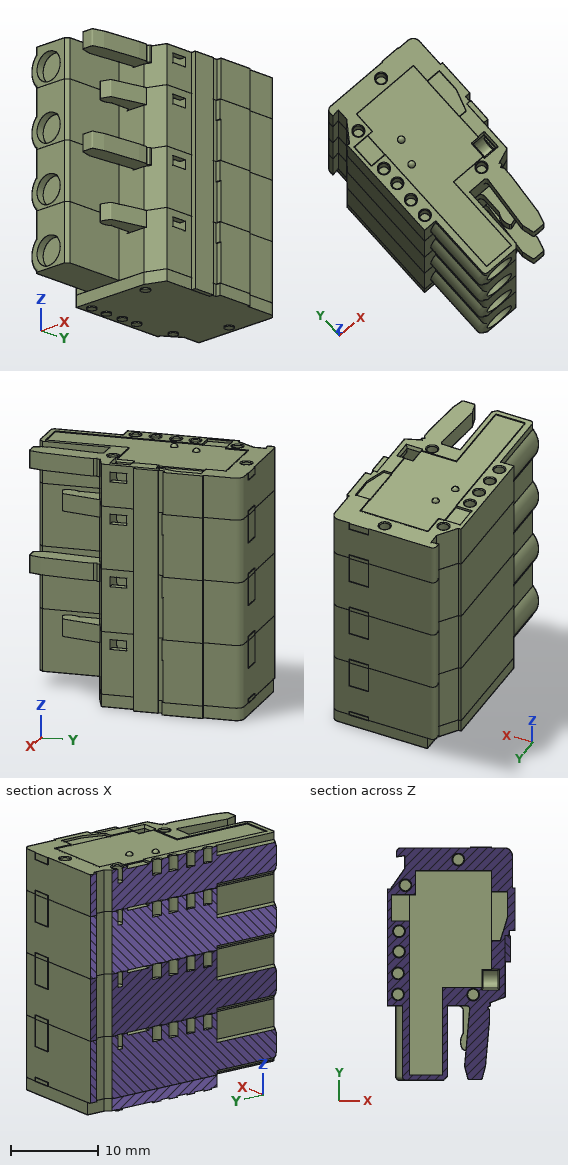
import cadquery as cq

PLATE_THICKNESS = 1.5
MODULE_HEIGHT = 7.5
TOP_MODULE_HEIGHT = 5.02
WIDE_MODULE_COUNT = 3
STACK_HEIGHT = PLATE_THICKNESS + WIDE_MODULE_COUNT * MODULE_HEIGHT + TOP_MODULE_HEIGHT

SHELF_Y = 8.5
SHOULDER_Y = 21.9
SHOULDER_X = 0.35
NECK_X = 1.97
NECK_Y = 24.22
BACK_Y = 26.6
SIDE_X = 14.3
BACK_CORNER_RADIUS = 0.95
TAB_X = 14.6
TAB_TOP_Y = 22.02
TAB_END_Y = 17.12
TAB_ROOT_X = 13.95
LOWER_SIDE_X = 13.48
SLOPE_TOP_Y = 9.55
SLOPE_END_X = 10.8

BAR_X = 14.1
BAR_START_Y = 13.55
BAR_END_Y = 16.53

HOOK_X = 1.03
HOOK_LIP_Y = 25.55
HOOK_ROOT_Y = 25.7
HOOK_RADIUS = 0.53

BARREL_RADIUS = 2.97
BARREL_HEIGHT_ABOVE_BASE = 2.17
ARM_LEFT_X = 1.7
ARM_RIGHT_X = 6.87
BARREL_X = ARM_RIGHT_X - BARREL_RADIUS
ARM_EDGE = 0.47
CONTACT_DIAMETER = 3.7
CONTACT_DEPTH = 1.0

LEG_THICKNESS = 2.08
LEG_TIP_RADIUS = 0.2
LEG_EMBEDMENT = 0.3
LONG_ROOT_RADIUS = 0.32
SHORT_ROOT_RADIUS = 0.55

STRIP_X = 9.48
STRIP_WIDTH = 2.45
STRIP_PROUD = 0.1
STRIP_UPPER_HEIGHT = 3.32
STRIP_LOWER_HEIGHT = 0.47
STRIP_GAP = MODULE_HEIGHT - STRIP_UPPER_HEIGHT - STRIP_LOWER_HEIGHT
TAB_STEP = 0.15
TAB_STEP_HEIGHT = TOP_MODULE_HEIGHT

PANEL_DEPTH = 0.12
POCKET_DEPTH = 0.25
PANEL_LEFT_X = 2.52
PANEL_RIGHT_X = 11.9
PANEL_NOTCH_X = 3.23
PANEL_NOTCH_Y = 21.23
PANEL_BACK_Y = 23.95
PANEL_INNER_X = 6.28
PANEL_INNER_Y = 10.63
PANEL_FRONT_Y = 0.65
SMALL_POCKET_X = 0.47
SMALL_POCKET_Y = 18.23
SIDE_POCKET = [(13.7, 21.55), (13.7, 18.6), (12.9, 15.97)]

PEG_POSITIONS = [
    (8.1, 25.25),
    (2.05, 22.3),
    (1.32, 17.05),
    (1.32, 14.75),
    (1.2, 12.25),
    (1.2, 9.85),
    (9.8, 9.8),
]
PEG_HOLE_DIAMETER = 1.25
PEG_HOLE_RIM_DIAMETER = 1.5
PEG_HOLE_DEPTH = 1.75
PEG_DIAMETER = 1.2
PEG_LENGTH = 0.15

DOME_POSITIONS = [(5.08, 18.32), (4.05, 15.35)]
DOME_RADIUS = 0.45
DOME_PROUD = 0.23

WINDOW_X = 10.75
WINDOW_Y = 10.35
WINDOW_WIDTH = 2.08
WINDOW_LENGTH = 2.4
WINDOW_MOUTH_DEPTH = 0.38
WINDOW_TAPER_INSET = 0.2
WINDOW_DEPTH = 2.05
WINDOW_EXIT_DEPTH = 0.88


def prism(points, base_z, height):
    return cq.Workplane("XY").workplane(offset=base_z).polyline(points).close().extrude(height)


def box(x, y, z, size_x, size_y, size_z):
    return cq.Workplane("XY").box(size_x, size_y, size_z, centered=False).translate((x, y, z))


def body_block(base_z, height):
    """Plain body with the latch tab and the channel for the locking bar."""
    outline = [
        (0, SHELF_Y),
        (SLOPE_END_X, SHELF_Y),
        (LOWER_SIDE_X, SLOPE_TOP_Y),
        (LOWER_SIDE_X, BAR_END_Y),
        (TAB_ROOT_X, BAR_END_Y),
        (TAB_ROOT_X, TAB_END_Y),
        (TAB_X, TAB_END_Y),
        (TAB_X, TAB_TOP_Y),
        (SIDE_X, TAB_TOP_Y),
        (SIDE_X, BACK_Y),
        (NECK_X, BACK_Y),
        (NECK_X, NECK_Y),
        (SHOULDER_X, SHOULDER_Y),
        (0, SHOULDER_Y),
    ]
    block = prism(outline, base_z, height)
    corner = cq.selectors.NearestToPointSelector((SIDE_X, BACK_Y, base_z + height / 2))
    return block.edges("|Z").edges(corner).fillet(BACK_CORNER_RADIUS)


def hook(base_z, height):
    outline = [
        (NECK_X, HOOK_ROOT_Y),
        (HOOK_X, HOOK_LIP_Y),
        (HOOK_X, BACK_Y),
        (NECK_X, BACK_Y),
    ]
    solid = prism(outline, base_z, height)
    corner = cq.selectors.NearestToPointSelector((HOOK_X, BACK_Y, base_z + height / 2))
    return solid.edges("|Z").edges(corner).fillet(HOOK_RADIUS)


def plug_arm(base_z, height):
    """Flat arm merged with a barrel that is cut off level with the module base."""
    arm = box(ARM_LEFT_X, 0, base_z, ARM_RIGHT_X - ARM_LEFT_X, SHELF_Y, height)
    arm = arm.faces("<Y").edges("<X").fillet(ARM_EDGE)
    arm = arm.faces("<Y").edges(">X").chamfer(ARM_EDGE)

    barrel_z = base_z + BARREL_HEIGHT_ABOVE_BASE
    barrel_plane = cq.Workplane("XZ", origin=(BARREL_X, 0, barrel_z))
    barrel = barrel_plane.circle(BARREL_RADIUS).extrude(-SHELF_Y).faces("<Y").edges().fillet(ARM_EDGE)
    left_half = box(BARREL_X - BARREL_RADIUS, 0, base_z, BARREL_RADIUS, SHELF_Y, height)
    contact_hole = barrel_plane.circle(CONTACT_DIAMETER / 2).extrude(-CONTACT_DEPTH)
    return arm.union(barrel.intersect(left_half)).cut(contact_hole)


def leg_blank(outline, top_z):
    return outline.close().extrude(LEG_THICKNESS).translate((0, 0, top_z - LEG_THICKNESS))


def round_tip(leg, corner, top_z):
    nearest = cq.selectors.NearestToPointSelector((*corner, top_z - LEG_THICKNESS / 2))
    return leg.edges("|Z").edges(nearest).fillet(LEG_TIP_RADIUS)


def long_leg(top_z):
    """Tapered leg with a rounded inner root and a small relief notch at its outer root."""
    side_x = 9.4
    left_tip = (9.22, 0.1)
    right_tip = (10.8, 0.1)
    outline = (
        cq.Workplane("XY")
        .moveTo(side_x - LONG_ROOT_RADIUS, SHELF_Y + LEG_EMBEDMENT)
        .lineTo(side_x - LONG_ROOT_RADIUS, SHELF_Y)
        .radiusArc((side_x, SHELF_Y - LONG_ROOT_RADIUS), LONG_ROOT_RADIUS)
        .lineTo(8.8, 1.61)
        .lineTo(*left_tip)
        .lineTo(*right_tip)
        .lineTo(11.22, 1.61)
        .lineTo(11.69, 6.85)
        .lineTo(11.69, 8.05)
        .lineTo(11.45, 8.37)
        .lineTo(11.77, SHELF_Y)
        .lineTo(11.77, SHELF_Y + LEG_EMBEDMENT)
    )
    leg = leg_blank(outline, top_z)
    return round_tip(round_tip(leg, left_tip, top_z), right_tip, top_z)


def short_leg(top_z):
    """Leg with a rounded latch nose on its inner side and one straight tapered side."""
    side_x = 8.65
    root_right_x = 11.13
    right_tip = (10.07, 3.88)
    outline = (
        cq.Workplane("XY")
        .moveTo(side_x - SHORT_ROOT_RADIUS, SHELF_Y + LEG_EMBEDMENT)
        .lineTo(side_x - SHORT_ROOT_RADIUS, SHELF_Y)
        .radiusArc((side_x, SHELF_Y - SHORT_ROOT_RADIUS), SHORT_ROOT_RADIUS)
        .lineTo(side_x, 5.4)
        .threePointArc((8.37, 4.7), (8.57, 3.58))
        .lineTo(8.8, 3.44)
        .lineTo(*right_tip)
        .lineTo(root_right_x, SHELF_Y)
        .lineTo(root_right_x, SHELF_Y + LEG_EMBEDMENT)
    )
    return round_tip(leg_blank(outline, top_z), right_tip, top_z)


def back_strips(base_z, height):
    upper_base = STRIP_LOWER_HEIGHT + STRIP_GAP
    lower = box(STRIP_X, BACK_Y, base_z, STRIP_WIDTH, STRIP_PROUD, STRIP_LOWER_HEIGHT)
    upper = box(STRIP_X, BACK_Y, base_z + upper_base, STRIP_WIDTH, STRIP_PROUD, height - upper_base)
    return lower.union(upper)


def top_recesses(top_z):
    """Shallow panel with two deeper pockets beside it."""
    panel = [
        (PANEL_LEFT_X, PANEL_FRONT_Y),
        (PANEL_INNER_X, PANEL_FRONT_Y),
        (PANEL_INNER_X, PANEL_INNER_Y),
        (PANEL_RIGHT_X, PANEL_INNER_Y),
        (PANEL_RIGHT_X, PANEL_BACK_Y),
        (PANEL_NOTCH_X, PANEL_BACK_Y),
        (PANEL_NOTCH_X, PANEL_NOTCH_Y),
        (PANEL_LEFT_X, PANEL_NOTCH_Y),
    ]
    side_pocket = [(PANEL_RIGHT_X, SIDE_POCKET[0][1]), *SIDE_POCKET, (PANEL_RIGHT_X, SIDE_POCKET[-1][1])]
    small_pocket = box(
        SMALL_POCKET_X,
        SMALL_POCKET_Y,
        top_z - POCKET_DEPTH,
        PANEL_LEFT_X - SMALL_POCKET_X,
        PANEL_NOTCH_Y - SMALL_POCKET_Y,
        POCKET_DEPTH,
    )
    return (
        prism(panel, top_z - PANEL_DEPTH, PANEL_DEPTH)
        .union(prism(side_pocket, top_z - POCKET_DEPTH, POCKET_DEPTH))
        .union(small_pocket)
    )


def peg_holes(top_z):
    rim_depth = (PEG_HOLE_RIM_DIAMETER - PEG_HOLE_DIAMETER) / 2
    plane = cq.Workplane("XY").workplane(offset=top_z).pushPoints(PEG_POSITIONS)
    shafts = plane.circle(PEG_HOLE_DIAMETER / 2).extrude(-PEG_HOLE_DEPTH)
    rims = plane.circle(PEG_HOLE_RIM_DIAMETER / 2).extrude(-rim_depth, taper=45)
    return shafts.union(rims)


def test_window(top_z):
    """Tapered mouth, straight shaft and half-round floor; the shaft breaks out through the side."""
    inner_x = WINDOW_X + WINDOW_TAPER_INSET
    inner_y = WINDOW_Y + WINDOW_TAPER_INSET
    inner_length = WINDOW_LENGTH - 2 * WINDOW_TAPER_INSET
    inner_width = WINDOW_WIDTH - 2 * WINDOW_TAPER_INSET
    trough_z = top_z - WINDOW_DEPTH
    exit_z = top_z - WINDOW_EXIT_DEPTH

    mouth = (
        cq.Workplane("XY", origin=(WINDOW_X, WINDOW_Y, top_z))
        .rect(WINDOW_WIDTH, WINDOW_LENGTH, centered=False)
        .workplane(offset=-WINDOW_MOUTH_DEPTH)
        .center(WINDOW_TAPER_INSET, WINDOW_TAPER_INSET)
        .rect(inner_width, inner_length, centered=False)
        .loft()
    )
    shaft_height = WINDOW_DEPTH - WINDOW_MOUTH_DEPTH
    shaft = box(inner_x, inner_y, trough_z, inner_width, inner_length, shaft_height)
    side_exit = box(inner_x, inner_y, trough_z, LOWER_SIDE_X - inner_x, inner_length, exit_z - trough_z)
    trough = (
        cq.Workplane("YZ", origin=(inner_x, inner_y + inner_length / 2, trough_z))
        .circle(inner_length / 2)
        .extrude(inner_width)
    )
    below_shaft = box(inner_x, inner_y, trough_z - WINDOW_DEPTH, inner_width, inner_length, WINDOW_DEPTH)
    return mouth.union(shaft).union(side_exit).union(trough.intersect(below_shaft))


def domes(top_z):
    center_z = top_z + DOME_PROUD - DOME_RADIUS
    return cq.Workplane("XY").workplane(offset=center_z).pushPoints(DOME_POSITIONS).sphere(DOME_RADIUS)


def tab_trim(base_z):
    return box(TAB_ROOT_X, TAB_END_Y, base_z, TAB_X - TAB_ROOT_X, TAB_STEP, TAB_STEP_HEIGHT)


def housing(base_z, height, leg):
    top_z = base_z + height
    return (
        body_block(base_z, height)
        .union(hook(base_z, height))
        .union(plug_arm(base_z, height))
        .union(back_strips(base_z, height))
        .union(leg(top_z))
        .cut(tab_trim(base_z))
        .cut(top_recesses(top_z))
        .cut(peg_holes(top_z))
        .cut(test_window(top_z))
    )


def top_housing(base_z):
    return housing(base_z, TOP_MODULE_HEIGHT, long_leg).union(domes(STACK_HEIGHT))


def end_plate():
    pegs = cq.Workplane("XY").pushPoints(PEG_POSITIONS).circle(PEG_DIAMETER / 2).extrude(-PEG_LENGTH)
    return body_block(0, PLATE_THICKNESS).union(pegs)


def locking_bar():
    width = BAR_X - LOWER_SIDE_X
    return box(LOWER_SIDE_X, BAR_START_Y, 0, width, BAR_END_Y - BAR_START_Y, STACK_HEIGHT)


wide_housings = []
for index in range(WIDE_MODULE_COUNT):
    leg_kind = long_leg if index % 2 else short_leg
    wide_housings.append(housing(PLATE_THICKNESS + index * MODULE_HEIGHT, MODULE_HEIGHT, leg_kind))

result = cq.Compound.makeCompound(
    [
        end_plate().val(),
        *[module.val() for module in wide_housings],
        top_housing(STACK_HEIGHT - TOP_MODULE_HEIGHT).val(),
        locking_bar().val(),
    ]
)